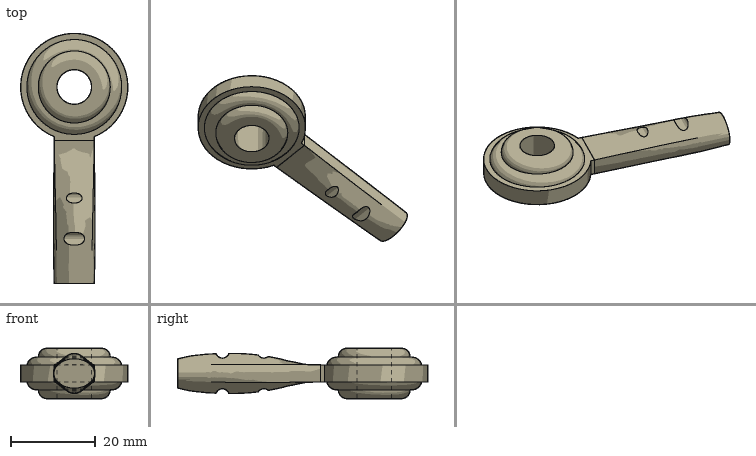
import cadquery as cq
import math

eye_radius = 12.7
eye_half_thickness = 2.05
bore_diameter = 8.13

shoulder_radius = 11.22
shoulder_flat_radius = 8.85
shoulder_height = 3.9

collar_radius = 8.52
collar_flat_radius = 6.4
collar_height = 5.995

handle_end = 46.48
neck_half_width = 4.73

groove_radius = 1.6
groove_floor = 3.65
groove_positions = (26.1, 35.9)
groove_length = 4 * neck_half_width

fullness_place = 0.64

handle_sections = (
    (eye_radius, neck_half_width, eye_half_thickness, 2.06, 4.74, 0.5, 0.5),
    (17.0, 4.63, 2.08, 2.30, 4.80, 0.5, 0.5),
    (25.0, 4.45, 2.12, 4.02, 4.90, 0.45, 0.6),
    (32.0, 4.34, 2.12, 4.74, 4.93, 0.47, 0.65),
    (39.0, 4.20, 2.05, 4.62, 4.92, 0.52, 0.65),
    (handle_end, 4.05, 1.85, 3.47, 4.78, 0.65, 0.65),
)


def make_eye():
    return cq.Workplane("XY").circle(eye_radius).extrude(eye_half_thickness, both=True)


def make_rounded_tier(flat_radius, outer_radius, base, height):
    """Disc symmetric about Z = 0; an arc tangent to each flat face runs out to the rim at the base height."""
    run = outer_radius - flat_radius
    drop = height - base
    arc_radius = (run**2 + drop**2) / (2 * drop)
    half_angle = math.atan2(drop, run)
    arc_mid = (
        flat_radius + arc_radius * math.sin(half_angle),
        height - arc_radius * (1 - math.cos(half_angle)),
    )
    return (
        cq.Workplane("XZ")
        .moveTo(0, -height)
        .lineTo(flat_radius, -height)
        .threePointArc((arc_mid[0], -arc_mid[1]), (outer_radius, -base))
        .lineTo(outer_radius, base)
        .threePointArc(arc_mid, (flat_radius, height))
        .lineTo(0, height)
        .close()
        .revolve(360, (0, 0, 0), (0, 1, 0))
    )


def make_handle_section(distance, corner_x, corner_z, crest, bulge, crest_fullness, side_fullness):
    """Closed wire with a crest curve above and below and a bulged curve on each side."""
    crest_x = fullness_place * corner_x
    crest_z = corner_z + crest_fullness * (crest - corner_z)
    side_z = fullness_place * corner_z
    side_x = corner_x + side_fullness * (bulge - corner_x)

    top = [(-corner_x, corner_z), (-crest_x, crest_z), (0, crest), (crest_x, crest_z), (corner_x, corner_z)]
    right = [(corner_x, corner_z), (side_x, side_z), (bulge, 0), (side_x, -side_z), (corner_x, -corner_z)]
    bottom = [(-x, -z) for x, z in top]
    left = [(-x, -z) for x, z in right]
    edges = [
        cq.Edge.makeSpline([cq.Vector(x, -distance, z) for x, z in points])
        for points in (top, right, bottom, left)
    ]
    return cq.Wire.assembleEdges(edges)


def make_handle():
    sections = [make_handle_section(*section) for section in handle_sections]
    return cq.Workplane(obj=cq.Solid.makeLoft(sections))


def make_neck():
    """Straight bar joining the handle to the eye."""
    bar = cq.Workplane("XY").box(2 * neck_half_width, eye_radius, 2 * eye_half_thickness)
    return bar.translate((0, -eye_radius / 2, 0))


def make_groove(distance, side):
    """Round cutter along X; side is 1 for the top and -1 for the underside."""
    axis_height = side * (groove_floor + groove_radius)
    return (
        cq.Workplane("YZ")
        .center(-distance, axis_height)
        .circle(groove_radius)
        .extrude(groove_length / 2, both=True)
    )


handle = make_handle()
for position in groove_positions:
    for side in (1, -1):
        handle = handle.cut(make_groove(position, side))

shoulder = make_rounded_tier(shoulder_flat_radius, shoulder_radius, eye_half_thickness, shoulder_height)
collar = make_rounded_tier(collar_flat_radius, collar_radius, shoulder_height, collar_height)
bore = cq.Workplane("XY").circle(bore_diameter / 2).extrude(collar_height, both=True)

result = make_eye().union(make_neck()).union(shoulder).union(collar).union(handle).cut(bore)